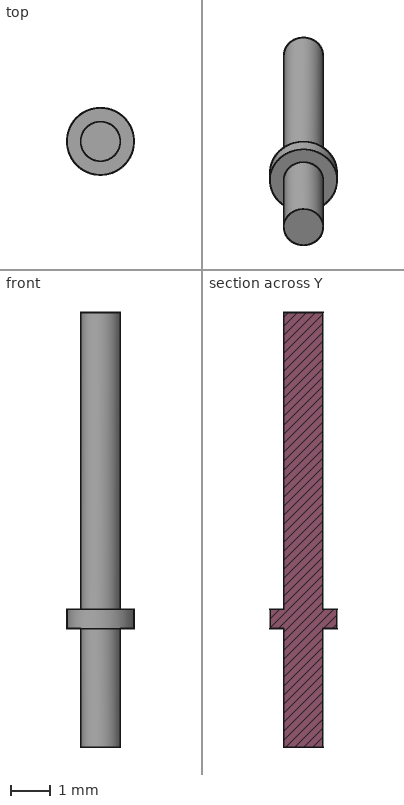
import cadquery as cq

pin_length = 11.0
pin_diameter = 1.0
collar_diameter = 1.7
collar_thickness = 0.5
tail_length = 3.0

pin = cq.Workplane("XY").circle(pin_diameter / 2).extrude(pin_length)

collar = (
    cq.Workplane("XY")
    .workplane(offset=tail_length)
    .circle(collar_diameter / 2)
    .extrude(collar_thickness)
)

result = pin.union(collar)